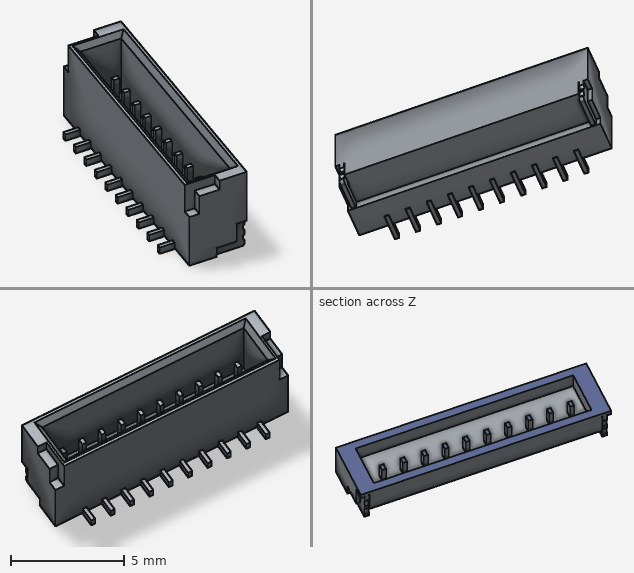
import cadquery as cq

LENGTH = 12.0
HEIGHT = 4.3
STANDOFF = 0.05
HOUSING_DEPTH = 2.85
FRONT = -HOUSING_DEPTH / 2
BACK = HOUSING_DEPTH / 2

STEP_SHORT = 0.5
STEP_LONG = 1.5
CUTOUT_WIDTH = 0.45

END_RIM = 0.55
SIDE_RIM = 0.15
LEAD_IN = 0.25
CAVITY_FLOOR = 1.01

PIN_COUNT = 10
PITCH = 3 / 3
PIN_WIDTH = 0.2
POST_DEPTH = 0.3
POST_BACK_GAP = 0.9
POST_TOP = 2.55
FOOT_HEIGHT = 0.36
FOOT_REACH = 0.75
FOOT_EMBED = 0.5

ANCHOR_INSET = 0.2
ANCHOR_THICKNESS = 0.2
ANCHOR_CORNER_RADIUS = 0.15
SCALLOP_RADIUS = 0.25
SCALLOP_DEPTH = 0.08
SCALLOP_HEIGHTS = (0.47, 1.05)


def box(x_range, y_range, z_range):
    """Axis-aligned box given by its limits along X, Y and Z."""
    limits = (x_range, y_range, z_range)
    sizes = [high - low for low, high in limits]
    corner = tuple(low for low, high in limits)
    return cq.Workplane("XY").box(*sizes, centered=False).translate(corner)


def both_ends(solid):
    """The solid together with its mirror image at the other end of the housing."""
    return solid.union(solid.mirror("YZ"))


def extrude_end_profile(profile, start, width):
    """Extrude a YZ outline along +X, starting this far inside the -X end."""
    plane = cq.Workplane("YZ", origin=(start - LENGTH / 2, 0, 0))
    return plane.polyline(profile).close().extrude(width)


def stepped_profile(edge_y, edge_z, inward_y, inward_z):
    """L-shaped outline from a corner; the inward signs point into the housing."""
    short_y = edge_y + inward_y * STEP_SHORT
    long_y = edge_y + inward_y * STEP_LONG
    short_z = edge_z + inward_z * STEP_SHORT
    long_z = edge_z + inward_z * STEP_LONG
    return [
        (edge_y, edge_z),
        (long_y, edge_z),
        (long_y, short_z),
        (short_y, short_z),
        (short_y, long_z),
        (edge_y, long_z),
    ]


def make_cavity():
    mouth_x = LENGTH - 2 * END_RIM
    mouth_y = HOUSING_DEPTH - 2 * SIDE_RIM
    inner_x = mouth_x - 2 * LEAD_IN
    inner_y = mouth_y - 2 * LEAD_IN
    lead_in_bottom = HEIGHT - LEAD_IN
    lead_in = (
        cq.Workplane("XY", origin=(0, 0, lead_in_bottom))
        .rect(inner_x, inner_y)
        .workplane(offset=LEAD_IN)
        .rect(mouth_x, mouth_y)
        .loft(ruled=True)
    )
    well = box(
        (-inner_x / 2, inner_x / 2),
        (-inner_y / 2, inner_y / 2),
        (CAVITY_FLOOR, lead_in_bottom),
    )
    return well.union(lead_in)


def make_housing():
    half_length = LENGTH / 2
    block = box((-half_length, half_length), (FRONT, BACK), (STANDOFF, HEIGHT))
    upper = extrude_end_profile(stepped_profile(FRONT, HEIGHT, 1, -1), 0, CUTOUT_WIDTH)
    lower = extrude_end_profile(stepped_profile(BACK, STANDOFF, -1, 1), 0, CUTOUT_WIDTH)
    back_slot = box(
        (-half_length, half_length),
        (BACK - STEP_LONG, BACK),
        (STANDOFF, STANDOFF + STEP_SHORT),
    )
    housing = block.cut(both_ends(upper)).cut(both_ends(lower))
    return housing.cut(back_slot).cut(make_cavity())


def make_anchor():
    """L-shaped metal plate in the lower cut-out at the -X end, reaching down to the solder plane."""
    shape = stepped_profile(BACK, STANDOFF, -1, 1)
    plate = extrude_end_profile(shape, ANCHOR_INSET, ANCHOR_THICKNESS)
    sole = extrude_end_profile(
        [(BACK, 0), (BACK - STEP_LONG, 0), (BACK - STEP_LONG, STANDOFF), (BACK, STANDOFF)],
        ANCHOR_INSET,
        ANCHOR_THICKNESS,
    )
    anchor = plate.union(sole).clean()
    anchor = anchor.faces("<Z").edges("|X").fillet(ANCHOR_CORNER_RADIUS)
    scallop_y = BACK + SCALLOP_RADIUS - SCALLOP_DEPTH
    scallops = (
        cq.Workplane("YZ", origin=(-LENGTH / 2, 0, 0))
        .pushPoints([(scallop_y, z) for z in SCALLOP_HEIGHTS])
        .circle(SCALLOP_RADIUS)
        .extrude(CUTOUT_WIDTH)
    )
    return anchor.cut(scallops)


def make_pin(x):
    """One contact: a post inside the cavity and a solder foot at the front."""
    x_range = (x - PIN_WIDTH / 2, x + PIN_WIDTH / 2)
    post_back = BACK - POST_BACK_GAP
    post = box(x_range, (post_back - POST_DEPTH, post_back), (CAVITY_FLOOR, POST_TOP))
    foot = box(x_range, (FRONT - FOOT_REACH, FRONT + FOOT_EMBED), (0, FOOT_HEIGHT))
    return post.union(foot)


result = make_housing().union(both_ends(make_anchor()))
for index in range(PIN_COUNT):
    pin_x = (index - (PIN_COUNT - 1) / 2) * PITCH
    result = result.union(make_pin(pin_x))